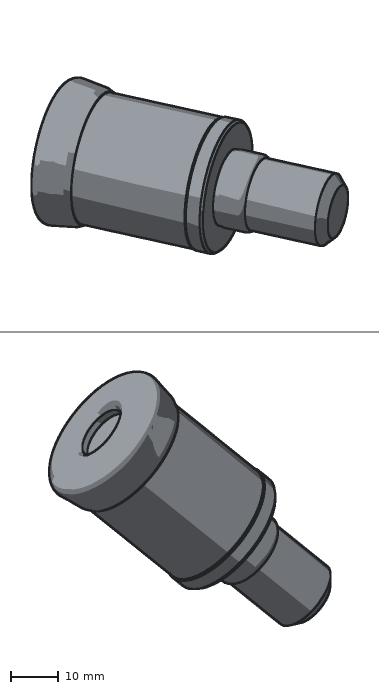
import cadquery as cq
import math

total_length = 65.0

cap_radius = 15.96
cap_widest_x = 3.1
cap_rear_x = 10.1
cap_rear_radius = 14.5
flank_end_x = 8.65
flank_end_radius = 15.15
crown_inner_radius = 8.2
crown_outer_radius = 13.7
crown_outer_x = 0.8
shoulder_x = 1.2
shoulder_radius = 14.9
shoulder_mid_x = 1.9
shoulder_mid_radius = 15.7

lip_radius = 6.4
lip_depth = 0.9
recess_radius = 5.8
recess_wall_start = 1.75
recess_wall_end = 3.3
recess_flat_radius = 1.5
recess_depth = 3.7

barrel_radius = 28.6 / 2
flange_radius = 29.0 / 2
flange_x = 35.8
flange_lead_length = 0.4
flange_end_x = 39.9
flange_chamfer_length = 0.6
flange_chamfer_height = 0.45

collar_radius = 17.0 / 2
neck_radius = 8.3
neck_end_x = 40.5
collar_start_x = 41.1
collar_end_x = 45.85
stud_radius = 15.75 / 2
stud_start_x = 47.0
tip_chamfer = 2.1


def revolve_about_x(profile):
    """Turn a closed (x, radius) profile about the X axis."""
    return profile.close().revolve(360, (0, 0, 0), (1, 0, 0))


def crown_middle():
    """Point halfway up the crown arc, whose centre lies on the X axis."""
    rise = crown_outer_radius**2 - crown_inner_radius**2
    crown_arc_radius = (rise + crown_outer_x**2) / (2 * crown_outer_x)
    middle_radius = (crown_inner_radius + crown_outer_radius) / 2
    centre_x = math.sqrt(crown_arc_radius**2 - crown_inner_radius**2)
    return centre_x - math.sqrt(crown_arc_radius**2 - middle_radius**2), middle_radius


def make_cap():
    profile = (
        cq.Workplane("XY")
        .moveTo(cap_rear_x, 0)
        .lineTo(recess_depth, 0)
        .lineTo(recess_depth, recess_flat_radius)
        .lineTo(recess_wall_end, recess_radius)
        .lineTo(recess_wall_start, recess_radius)
        .lineTo(lip_depth, lip_radius)
        .tangentArcPoint((0, crown_inner_radius), relative=False)
        .threePointArc(crown_middle(), (crown_outer_x, crown_outer_radius))
        .lineTo(shoulder_x, shoulder_radius)
        .threePointArc((shoulder_mid_x, shoulder_mid_radius), (cap_widest_x, cap_radius))
        .lineTo(flank_end_x, flank_end_radius)
        .lineTo(cap_rear_x, cap_rear_radius)
    )
    return revolve_about_x(profile)


def make_housing():
    collar_round_length = stud_start_x - collar_end_x
    collar_round_drop = collar_radius - stud_radius
    collar_round = (collar_round_length**2 + collar_round_drop**2) / (2 * collar_round_drop)
    half_length = collar_round_length / 2
    half_drop = collar_round - math.sqrt(collar_round**2 - half_length**2)
    collar_round_middle = (collar_end_x + half_length, collar_radius - half_drop)
    profile = (
        cq.Workplane("XY")
        .moveTo(cap_rear_x, 0)
        .lineTo(cap_rear_x, barrel_radius)
        .lineTo(flange_x, barrel_radius)
        .lineTo(flange_x + flange_lead_length, flange_radius)
        .lineTo(flange_end_x - flange_chamfer_length, flange_radius)
        .lineTo(flange_end_x, flange_radius - flange_chamfer_height)
        .lineTo(flange_end_x, neck_radius)
        .lineTo(neck_end_x, neck_radius)
        .lineTo(collar_start_x, collar_radius)
        .lineTo(collar_end_x, collar_radius)
        .threePointArc(collar_round_middle, (stud_start_x, stud_radius))
        .lineTo(total_length - tip_chamfer, stud_radius)
        .lineTo(total_length, stud_radius - tip_chamfer)
        .lineTo(total_length, 0)
    )
    return revolve_about_x(profile)


cap = make_cap()
housing = make_housing()

result = cq.Compound.makeCompound([cap.val(), housing.val()])